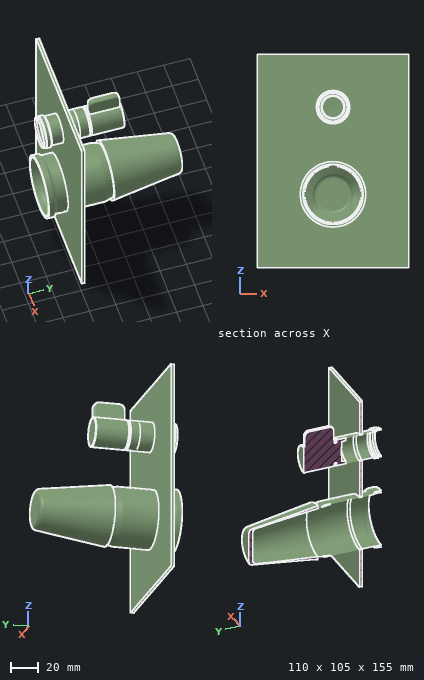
import cadquery as cq

PLATE_WIDTH = 110.0
PLATE_HEIGHT = 155.0
PLATE_THICKNESS = 2.3
PLATE_FRONT = 14.9
PLATE_CORNER_RADIUS = 1.2

CUP_AXIS_Z = 53.3
VALVE_AXIS_Z = 116.5

CUP_LENGTH = 105.0
CUP_RADIUS = 22.0
CUP_RIM_RADIUS = 23.7
CUP_RIM_LENGTH = 4.0
CUP_BARREL_START = 7.1
CUP_BARREL_END = 43.9
CUP_NECK_START = 44.8
CUP_NECK_START_RADIUS = 21.9
CUP_NECK_END = 50.0
CUP_NECK_END_RADIUS = 20.5
CUP_CONE_RADIUS = 22.6
CUP_TIP_RADIUS = 14.9
CUP_TIP_FILLET = 3.5

CUP_MOUTH_RADIUS = 21.9
CUP_MOUTH_DEPTH = 3.4
CUP_BORE_RADIUS = 21.4
CUP_BORE_START = 6.5
CUP_BORE_END = 37.2
CUP_TAPER_RADIUS = 16.1
CUP_TAPER_END = 86.8
CUP_FLOOR_RADIUS = 14.3
CUP_FLOOR_DEPTH = 101.5
CUP_FLOOR_FILLET = 3.1

VALVE_LENGTH = 61.5
VALVE_RADIUS = 11.0
VALVE_LIP_RADIUS = 11.5
VALVE_LIP_LENGTH = 1.7
VALVE_RING_RADIUS = 12.1
VALVE_RING_END = 5.3
VALVE_RING_SLOPE = 1.0
VALVE_EDGE = 0.5
GROOVE_START = 35.5
GROOVE_END = 36.7
GROOVE_RADIUS = 8.5

VALVE_MOUTH_RADIUS = 10.8
VALVE_MOUTH_DEPTH = 3.7
VALVE_BORE_RADIUS = 10.2
VALVE_BORE_START = 5.0
VALVE_BORE_DEPTH = 27.9
VALVE_POCKET_RADIUS = 8.5
VALVE_FLOOR_RADIUS = 7.9
VALVE_FLOOR_DEPTH = 31.0
VALVE_DISH_RADIUS = 7.0
VALVE_DISH_DEPTH = 0.3

LEVER_TOP = 22.8
LEVER_START = 37.2
LEVER_END = 60.6
LEVER_WIDTH = 5.6
LEVER_CORNER = 4.3
LEVER_EDGE = 1.2


def turned(profile, axis_z):
    """Close a (radius, y) profile, revolve it about the Y axis and lift it to axis_z."""
    solid = profile.close().revolve(360, (0, 0, 0), (0, 1, 0))
    return solid.translate((0, 0, axis_z))


def s_bend(profile, start, end):
    """Add an S-bend of two tangent arcs from start to end, parallel to Y at both ends."""
    middle = ((start[0] + end[0]) / 2, (start[1] + end[1]) / 2)
    return profile.tangentArcPoint(middle, relative=False).tangentArcPoint(end, relative=False)


def cylinder(radius, start, length, axis_z):
    """Cylinder about a line parallel to Y, running from start toward +Y."""
    end_face = cq.Workplane("XZ", origin=(0, start, axis_z))
    return end_face.circle(radius).extrude(-length)


def make_plate():
    centre = (0, PLATE_FRONT + PLATE_THICKNESS / 2, PLATE_HEIGHT / 2)
    plate = cq.Workplane("XY").box(PLATE_WIDTH, PLATE_THICKNESS, PLATE_HEIGHT)
    plate = plate.translate(centre)
    plate = plate.edges("|Y").fillet(PLATE_CORNER_RADIUS)
    for radius, z in ((CUP_RADIUS, CUP_AXIS_Z), (VALVE_RADIUS, VALVE_AXIS_Z)):
        plate = plate.cut(cylinder(radius, PLATE_FRONT, PLATE_THICKNESS, z))
    return plate


def make_cup_outside():
    rim_edge = (CUP_RIM_RADIUS, CUP_RIM_LENGTH)
    barrel_start = (CUP_RADIUS, CUP_BARREL_START)
    profile = cq.Workplane("XY").polyline([(0, 0), (CUP_RIM_RADIUS, 0), rim_edge])
    profile = s_bend(profile, rim_edge, barrel_start)
    profile = profile.lineTo(CUP_RADIUS, CUP_BARREL_END)
    profile = profile.tangentArcPoint((CUP_NECK_START_RADIUS, CUP_NECK_START), relative=False)
    profile = profile.lineTo(CUP_NECK_END_RADIUS, CUP_NECK_END)
    profile = profile.lineTo(CUP_CONE_RADIUS, CUP_NECK_END)
    profile = profile.lineTo(CUP_TIP_RADIUS, CUP_LENGTH)
    profile = profile.lineTo(0, CUP_LENGTH)
    return turned(profile, CUP_AXIS_Z).edges(">Y").fillet(CUP_TIP_FILLET)


def make_cup_inside():
    mouth_end = (CUP_MOUTH_RADIUS, CUP_MOUTH_DEPTH)
    bore_start = (CUP_BORE_RADIUS, CUP_BORE_START)
    profile = cq.Workplane("XY").polyline([(0, 0), (CUP_MOUTH_RADIUS, 0), mouth_end])
    profile = s_bend(profile, mouth_end, bore_start)
    profile = profile.lineTo(CUP_BORE_RADIUS, CUP_BORE_END)
    profile = profile.lineTo(CUP_TAPER_RADIUS, CUP_TAPER_END)
    profile = profile.lineTo(CUP_FLOOR_RADIUS, CUP_FLOOR_DEPTH)
    profile = profile.lineTo(0, CUP_FLOOR_DEPTH)
    return turned(profile, CUP_AXIS_Z).edges(">Y").fillet(CUP_FLOOR_FILLET)


def make_cup():
    return make_cup_outside().cut(make_cup_inside())


def make_lever():
    length = LEVER_END - LEVER_START
    lever = cq.Workplane("XY").box(LEVER_WIDTH, length, LEVER_TOP, centered=(True, False, False))
    lever = lever.edges("|X and >Z").fillet(LEVER_CORNER)
    lever = lever.faces("<X or >X").edges("not <Z").fillet(LEVER_EDGE)
    return lever.translate((0, LEVER_START, VALVE_AXIS_Z))


def make_valve_outside():
    points = [
        (0, 0),
        (VALVE_LIP_RADIUS, 0),
        (VALVE_LIP_RADIUS, VALVE_LIP_LENGTH),
        (VALVE_RING_RADIUS, VALVE_LIP_LENGTH + VALVE_EDGE),
        (VALVE_RING_RADIUS, VALVE_RING_END),
        (VALVE_RADIUS, VALVE_RING_END + VALVE_RING_SLOPE),
        (VALVE_RADIUS, GROOVE_START - VALVE_EDGE),
        (VALVE_RADIUS - VALVE_EDGE, GROOVE_START),
        (GROOVE_RADIUS, GROOVE_START),
        (GROOVE_RADIUS, GROOVE_END),
        (VALVE_RADIUS, GROOVE_END),
        (VALVE_RADIUS, VALVE_LENGTH - VALVE_EDGE),
        (VALVE_RADIUS - VALVE_EDGE, VALVE_LENGTH),
        (0, VALVE_LENGTH),
    ]
    return turned(cq.Workplane("XY").polyline(points), VALVE_AXIS_Z)


def make_valve_inside():
    points = [
        (0, 0),
        (VALVE_MOUTH_RADIUS, 0),
        (VALVE_MOUTH_RADIUS, VALVE_MOUTH_DEPTH),
        (VALVE_BORE_RADIUS, VALVE_BORE_START),
        (VALVE_BORE_RADIUS, VALVE_BORE_DEPTH),
        (VALVE_POCKET_RADIUS, VALVE_BORE_DEPTH),
        (VALVE_FLOOR_RADIUS, VALVE_FLOOR_DEPTH),
        (VALVE_DISH_RADIUS, VALVE_FLOOR_DEPTH),
        (0, VALVE_FLOOR_DEPTH + VALVE_DISH_DEPTH),
    ]
    return turned(cq.Workplane("XY").polyline(points), VALVE_AXIS_Z)


def make_valve():
    return make_valve_outside().union(make_lever()).cut(make_valve_inside())


plate = make_plate()
cup = make_cup()
valve = make_valve()

result = cq.Compound.makeCompound([plate.val(), cup.val(), valve.val()])